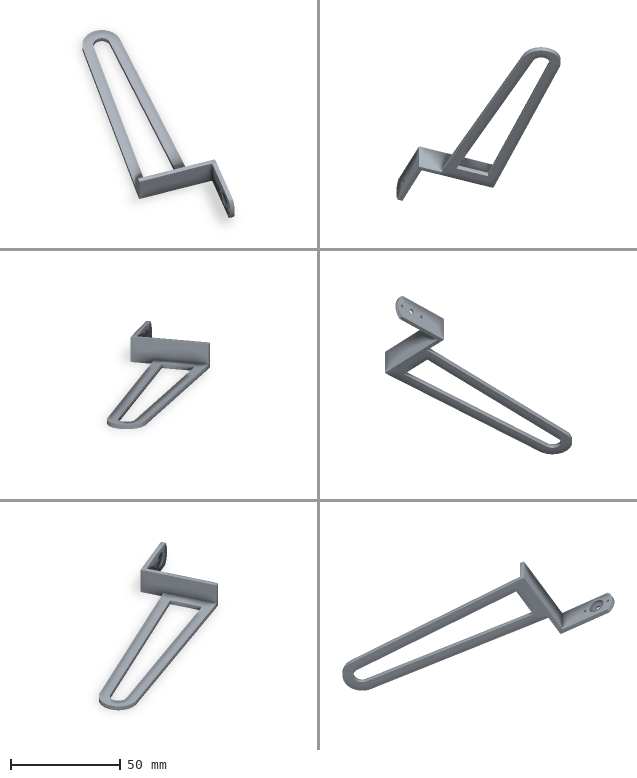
import cadquery as cq
import math

length = 128.4
width = 37.2
height = 12.0

sheet = 2.0

arm_length = 99.9
arm_base_width = 26.1
nose_radius = 9.0
rim = 5.0

tip_radius = 8.5
bore_diameter = 2.5
recess_diameter = 7.5
recess_depth = sheet / 2
pin_hole_diameter = 1.5
pin_hole_offset = 6.0

arm_axis_y = arm_base_width / 2
hole_x = length - tip_radius
hole_z = height / 2


def tapered_outline(nose_x, radius, end_x, end_half_width):
    """Closed outline with a round nose tangent to two straight, spreading sides."""
    run = end_x - nose_x
    reach = math.hypot(run, end_half_width)
    angle = math.atan2(end_half_width, run) + math.acos(radius / reach)
    tangent_x = nose_x + radius * math.cos(angle)
    tangent_y = radius * math.sin(angle)
    return (
        cq.Workplane("XY")
        .moveTo(end_x, arm_axis_y - end_half_width)
        .lineTo(end_x, arm_axis_y + end_half_width)
        .lineTo(tangent_x, arm_axis_y + tangent_y)
        .threePointArc((nose_x - radius, arm_axis_y), (tangent_x, arm_axis_y - tangent_y))
        .close()
    )


def make_arm():
    half_width = arm_base_width / 2
    run = arm_length - nose_radius
    reach = math.hypot(run, half_width)
    taper = math.atan2(half_width, run) - math.asin(nose_radius / reach)
    window_half_width = half_width - rim * math.tan(taper) - rim / math.cos(taper)
    plate = tapered_outline(nose_radius, nose_radius, arm_length, half_width).extrude(sheet)
    window = tapered_outline(
        nose_radius, nose_radius - rim, arm_length - rim, window_half_width
    ).extrude(sheet)
    return plate.cut(window)


def make_wall():
    return cq.Workplane("XY").box(sheet, width, height, centered=False).translate((arm_length, 0, 0))


def flange_cylinder(x, diameter, depth):
    """Cylinder running back from the front face of the flange."""
    front_y = width - sheet
    return (
        cq.Workplane("XZ", origin=(x, front_y, hole_z))
        .circle(diameter / 2)
        .extrude(-depth)
    )


def make_flange():
    corner_x = hole_x + math.sqrt(tip_radius**2 - hole_z**2)
    flange = (
        cq.Workplane("XZ", origin=(0, width, 0))
        .moveTo(arm_length, 0)
        .lineTo(corner_x, 0)
        .threePointArc((length, hole_z), (corner_x, height))
        .lineTo(arm_length, height)
        .close()
        .extrude(sheet)
    )
    flange = flange.cut(flange_cylinder(hole_x, recess_diameter, recess_depth))
    flange = flange.cut(flange_cylinder(hole_x, bore_diameter, sheet))
    for offset in (-pin_hole_offset, pin_hole_offset):
        flange = flange.cut(flange_cylinder(hole_x + offset, pin_hole_diameter, sheet))
    return flange


result = make_wall().union(make_arm()).union(make_flange())